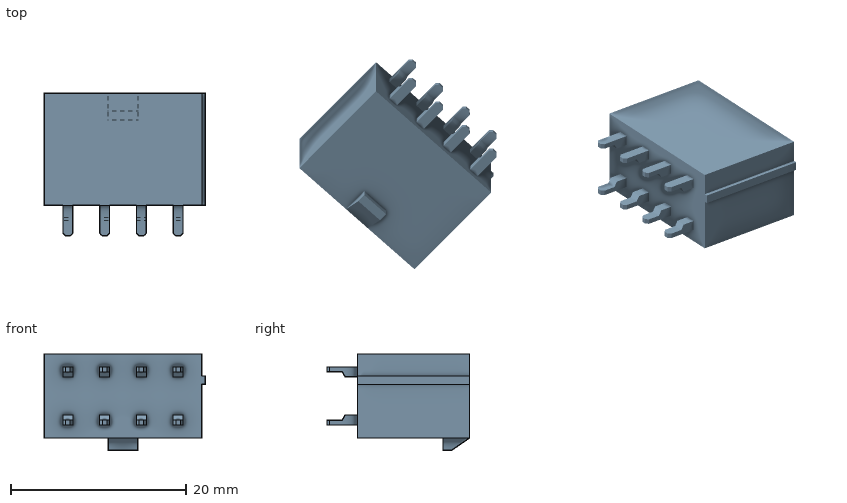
import cadquery as cq


total_width = 18.4
total_depth = 16.3
total_height = 11.0

rib_projection = 0.4
rib_height = 1.0
rib_drop = 2.5

latch_projection = 1.4
latch_width = 3.39
latch_length = 3.05
latch_flat = 1.01

pins_per_row = 4
pin_pitch = 4.2
row_pitch = 5.5
pin_length = 3.5
pin_size = 1.15
tip_thickness = pin_size / 2
root_length = 1.42
step_run = 0.33
point_length = 0.31
point_inset = 0.31

housing_width = total_width - rib_projection
housing_depth = total_depth - pin_length
housing_height = total_height - latch_projection
housing_top = housing_height / 2
housing_bottom = -housing_height / 2


def make_rib():
    """Straight rib along the full depth of the +X side."""
    return (
        cq.Workplane("XY")
        .box(rib_projection, housing_depth, rib_height, centered=False)
        .translate((housing_width / 2, 0, housing_top - rib_drop - rib_height))
    )


def make_latch():
    """Ramp rising out of the back bottom edge and ending in a square catch face."""
    latch_bottom = housing_bottom - latch_projection
    catch_y = housing_depth - latch_length
    return (
        cq.Workplane("YZ")
        .polyline([
            (housing_depth, housing_bottom),
            (catch_y, housing_bottom),
            (catch_y, latch_bottom),
            (catch_y + latch_flat, latch_bottom),
        ])
        .close()
        .extrude(latch_width / 2, both=True)
    )


def make_housing():
    """Solid block with the rib and the latch."""
    block = (
        cq.Workplane("XY")
        .box(housing_width, housing_depth, housing_height, centered=(True, False, True))
    )
    return block.union(make_rib()).union(make_latch())


def make_pin(x, z, side):
    """Pin standing on the housing face; its thin tip lies on the outer side (+1 up, -1 down)."""
    outer = z + side * pin_size / 2
    inner = z - side * pin_size / 2
    tip_inner = outer - side * tip_thickness
    profile = (
        cq.Workplane("YZ")
        .polyline([
            (0, outer),
            (-pin_length, outer),
            (-pin_length, tip_inner),
            (-root_length - step_run, tip_inner),
            (-root_length, inner),
            (0, inner),
        ])
        .close()
        .extrude(pin_size / 2, both=True)
    )
    half_width = pin_size / 2
    half_point = half_width - point_inset
    bevel_start = point_length - pin_length
    plan = (
        cq.Workplane("XY")
        .polyline([
            (-half_width, 0),
            (-half_width, bevel_start),
            (-half_point, -pin_length),
            (half_point, -pin_length),
            (half_width, bevel_start),
            (half_width, 0),
        ])
        .close()
        .extrude(total_height, both=True)
    )
    return profile.intersect(plan).translate((x, 0, 0))


housing = make_housing()

pins = []
for side in (1, -1):
    for column in range(pins_per_row):
        pin_x = (column - (pins_per_row - 1) / 2) * pin_pitch
        pins.append(make_pin(pin_x, side * row_pitch / 2, side))

result = cq.Compound.makeCompound([housing.val(), *[pin.val() for pin in pins]])